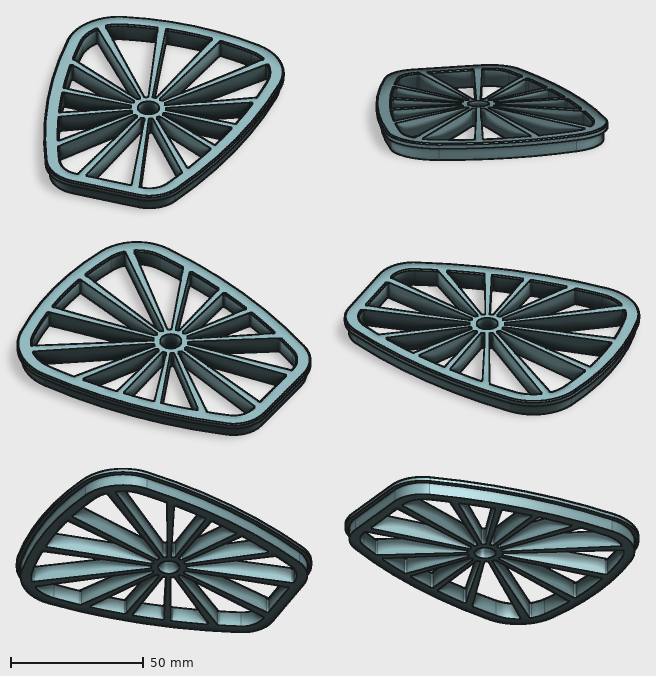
import cadquery as cq
import math

width = 85.0
length = 105.5
height = 7.0
hub_to_top_end = 53.5

top_radius = 113.9
top_corner_radius = 20.3
side_radius = 200.5
bottom_corner_radius = 14.5
bottom_half_flat = 13.1

flange_thickness = 2.0
flange_overhang = 1.6
rim_width = 5.6
chamfer = 0.5

hub_radius = 6.5
bore_diameter = 8.0
spoke_count = 14
spoke_width_at_axis = 1.3
spoke_half_taper = 1.1
pocket_corner_radius = 0.6

pitch = 360 / spoke_count


def point_on(center, radius, angle):
    """Point of a circle at an angle in radians."""
    return (center[0] + radius * math.cos(angle), center[1] + radius * math.sin(angle))


def mirrored(point):
    """Point on the other side of the YZ plane."""
    return (-point[0], point[1])


def side_arc_center(upper, lower):
    """Center of the side arc, which encloses and touches both corner circles."""
    to_upper = side_radius - top_corner_radius
    to_lower = side_radius - bottom_corner_radius
    dx = lower[0] - upper[0]
    dy = lower[1] - upper[1]
    spacing = math.hypot(dx, dy)
    along = (to_upper**2 - to_lower**2 + spacing**2) / (2 * spacing)
    across = math.sqrt(to_upper**2 - along**2)
    return (
        upper[0] + (along * dx + across * dy) / spacing,
        upper[1] + (along * dy - across * dx) / spacing,
    )


def rim_outline():
    """Closed outer outline of the flange."""
    bottom_y = hub_to_top_end - length
    top_center = (0, hub_to_top_end - top_radius)
    upper_x = width / 2 - top_corner_radius
    top_angle = math.acos(upper_x / (top_radius - top_corner_radius))
    upper = point_on(top_center, top_radius - top_corner_radius, top_angle)
    lower = (bottom_half_flat, bottom_y + bottom_corner_radius)
    side = side_arc_center(upper, lower)
    upper_angle = math.atan2(upper[1] - side[1], upper[0] - side[0])
    lower_angle = math.atan2(lower[1] - side[1], lower[0] - side[0])

    flat_end = (bottom_half_flat, bottom_y)
    lower_mid = point_on(lower, bottom_corner_radius, (lower_angle - math.pi / 2) / 2)
    side_start = point_on(side, side_radius, lower_angle)
    side_mid = point_on(side, side_radius, (lower_angle + upper_angle) / 2)
    side_end = point_on(side, side_radius, upper_angle)
    upper_mid = point_on(upper, top_corner_radius, (upper_angle + top_angle) / 2)
    top_start = point_on(top_center, top_radius, top_angle)
    return (
        cq.Workplane("XY")
        .moveTo(*mirrored(flat_end))
        .lineTo(*flat_end)
        .threePointArc(lower_mid, side_start)
        .threePointArc(side_mid, side_end)
        .threePointArc(upper_mid, top_start)
        .threePointArc((0, hub_to_top_end), mirrored(top_start))
        .threePointArc(mirrored(upper_mid), mirrored(side_end))
        .threePointArc(mirrored(side_mid), mirrored(side_start))
        .threePointArc(mirrored(lower_mid), mirrored(flat_end))
        .close()
    )


def rim_prism(inset, bottom, top):
    """Solid between two heights, inside the flange outline moved inwards by the inset."""
    outline = rim_outline()
    if inset > 0:
        outline = outline.offset2D(-inset)
    return outline.extrude(top - bottom).translate((0, 0, bottom))


def sector(angle):
    """Wedge between two neighboring spokes, outside the hub, centered on an angle in degrees."""
    half_angle = math.radians(pitch / 2 - spoke_half_taper)
    edge_offset = spoke_width_at_axis / 2 * math.cos(math.radians(spoke_half_taper))
    tip = edge_offset / math.sin(half_angle)
    half_opening = (length - tip) * math.tan(half_angle)
    hub = cq.Workplane("XY").circle(hub_radius).extrude(height)
    return (
        cq.Workplane("XY")
        .moveTo(tip, 0)
        .lineTo(length, -half_opening)
        .lineTo(length, half_opening)
        .close()
        .extrude(height)
        .cut(hub)
        .rotate((0, 0, 0), (0, 0, 1), angle)
    )


def rounded_opening(inset, angle):
    """Full-height opening between two spokes with rounded corners, inside an inset outline."""
    opening = rim_prism(inset, 0, height).intersect(sector(angle))
    return (
        opening.faces("<Z")
        .wires()
        .toPending()
        .offset2D(-pocket_corner_radius)
        .offset2D(pocket_corner_radius)
        .extrude(height, combine=False)
    )


def pocket(angle):
    """Opening between two spokes, chamfered at the top along the rim only."""
    opening = rounded_opening(rim_width, angle)
    chamfered_strip = rounded_opening(rim_width - chamfer, angle).intersect(rim_flare)
    return opening.union(chamfered_strip)


rim_flare = (
    rim_prism(rim_width - chamfer, height - chamfer, height + chamfer)
    .faces("<Z")
    .edges()
    .chamfer(chamfer)
)

body = rim_prism(flange_overhang, 0, height)
flange = rim_prism(0, height - flange_thickness, height).faces(">Z").edges().chamfer(chamfer)
result = body.union(flange)

result = result.cut(cq.Workplane("XY").circle(bore_diameter / 2).extrude(height))
for index in range(spoke_count):
    result = result.cut(pocket(90 + index * pitch))